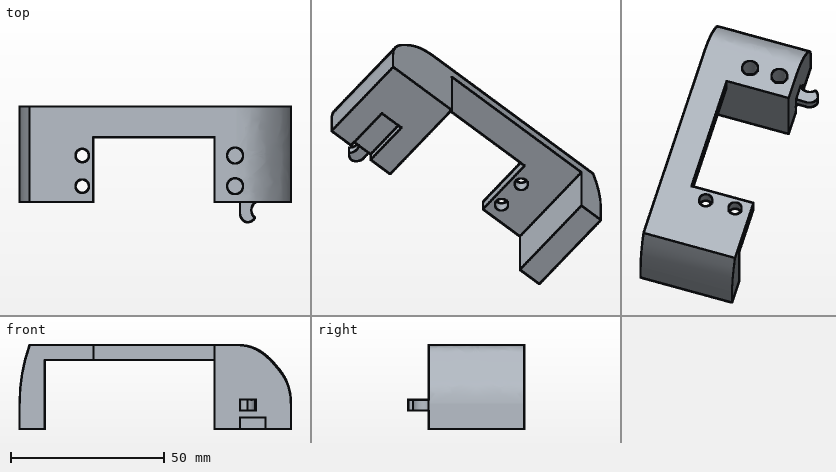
import cadquery as cq

length = 88.67
depth = 31.25
overall_depth = 37.92
height = 27.5

plate_thickness = 5.0
block_length = 25.0
leg_length = block_length / 3
block_left = length - block_length

foot_height = 8.33
left_crown_inset = 3.3
left_curve_mid_inset = 0.8
left_curve_mid_height = (foot_height + height) / 2
right_crown_inset = 17.8
right_curve_mid_inset = 5.9
right_curve_mid_height = 21.8

window_left = 24.1
window_depth = 21.15

hole_rows = (5.2, 15.2)
through_hole_x = 20.5
through_hole_diameter = 4.3
blind_hole_x = 70.4
blind_hole_diameter = 5.2
blind_hole_depth = 10.0

slot_width = block_length / 3
slot_left = block_left + slot_width
slot_height = 3.75
slot_depth = depth / 2

hook_left = slot_left
hook_bottom = 6.05
hook_height = 3.6
hook_root_width = 5.15
hook_straight_reach = 3.1
hook_back_mid_inset = 0.8
hook_back_mid_reach = 5.75
hook_tip_inset = 2.4
hook_tip_reach = overall_depth - depth
hook_nose_mid_inset = 3.95
hook_nose_mid_reach = 6.15
hook_point_inset = 4.9
hook_point_reach = 5.1
hook_throat_inset = 3.75
hook_throat_reach = 2.5
hook_overlap = 1.0


def make_body():
    """Bridge profile in XZ, extruded from the front face to the rear."""
    profile = (
        cq.Workplane("XZ")
        .lineTo(leg_length, 0)
        .lineTo(leg_length, height - plate_thickness)
        .lineTo(block_left, height - plate_thickness)
        .lineTo(block_left, 0)
        .lineTo(length, 0)
        .lineTo(length, foot_height)
        .spline(
            [
                (length - right_curve_mid_inset, right_curve_mid_height),
                (length - right_crown_inset, height),
            ],
            tangents=[(0, 1), (-1, 0)],
            includeCurrent=True,
        )
        .lineTo(left_crown_inset, height)
        .threePointArc((left_curve_mid_inset, left_curve_mid_height), (0, foot_height))
        .close()
    )
    return profile.extrude(-depth)


def make_window():
    """Cutter that opens the front of the plate up to the block."""
    return cq.Workplane("XY").box(
        block_left - window_left, window_depth, height, centered=False
    ).translate((window_left, 0, 0))


def make_holes(x, diameter, hole_depth):
    """A row of vertical hole cutters going down from the top face."""
    return (
        cq.Workplane("XY", origin=(0, 0, height))
        .pushPoints([(x, y) for y in hole_rows])
        .circle(diameter / 2)
        .extrude(-hole_depth)
    )


def make_slot():
    """Cutter for the slot, open at the front and the underside."""
    return cq.Workplane("XY").box(
        slot_width, slot_depth, slot_height, centered=False
    ).translate((slot_left, 0, 0))


def make_hook():
    """Curved hook, rooted a little inside the block so it fuses cleanly."""
    back_mid = (hook_back_mid_inset, -hook_back_mid_reach)
    tip = (hook_tip_inset, -hook_tip_reach)
    nose_mid = (hook_nose_mid_inset, -hook_nose_mid_reach)
    point = (hook_point_inset, -hook_point_reach)
    throat = (hook_throat_inset, -hook_throat_reach)
    return (
        cq.Workplane("XY", origin=(hook_left, 0, hook_bottom))
        .moveTo(0, hook_overlap)
        .lineTo(0, -hook_straight_reach)
        .threePointArc(back_mid, tip)
        .threePointArc(nose_mid, point)
        .threePointArc(throat, (hook_root_width, 0))
        .lineTo(hook_root_width, hook_overlap)
        .close()
        .extrude(hook_height)
    )


result = (
    make_body()
    .cut(make_window())
    .cut(make_holes(through_hole_x, through_hole_diameter, plate_thickness))
    .cut(make_holes(blind_hole_x, blind_hole_diameter, blind_hole_depth))
    .cut(make_slot())
    .union(make_hook())
)